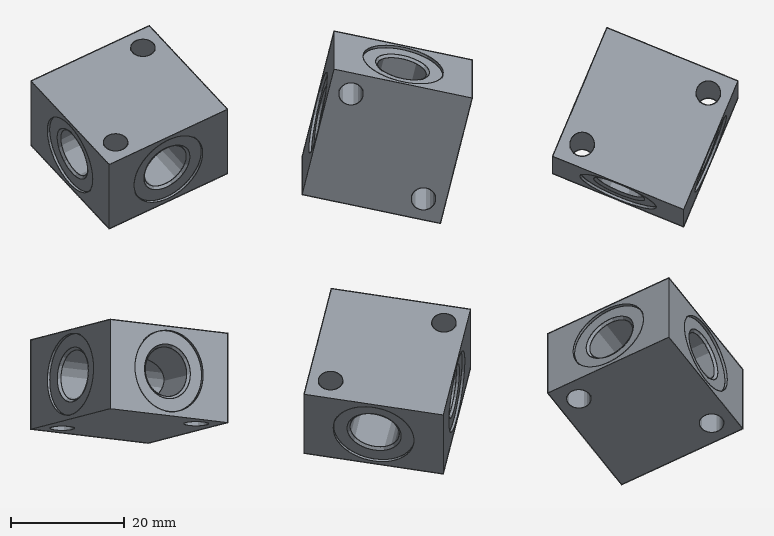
import cadquery as cq

side = 25.0
height = 16.0

bore_diameter = 8.8
chamfer_diameter = 9.72
chamfer_depth = (chamfer_diameter - bore_diameter) / 2
spotface_diameter = 14.5
spotface_depth = 0.5

mount_diameter = 4.3
mount_offset = 8.5


def port_cutter():
    """Bore along Z with a spotface and a chamfered mouth at both ends, centred on the origin."""
    half = side / 2
    floor = half - spotface_depth
    bore_radius = bore_diameter / 2
    spotface_radius = spotface_diameter / 2
    half_profile = [
        (0, 0),
        (bore_radius, 0),
        (bore_radius, floor - chamfer_depth),
        (chamfer_diameter / 2, floor),
        (spotface_radius, floor),
        (spotface_radius, half),
        (0, half),
    ]
    end = cq.Workplane("XZ").polyline(half_profile).close().revolve(360, (0, 0, 0), (0, 1, 0))
    return end.union(end.mirror("XY"))


block = cq.Workplane("XY").box(side, side, height)
port = port_cutter()
port_along_x = port.rotate((0, 0, 0), (0, 1, 0), 90)
port_along_y = port.rotate((0, 0, 0), (1, 0, 0), 90)

mount_holes = (
    cq.Workplane("XY")
    .pushPoints([(-mount_offset, mount_offset), (mount_offset, -mount_offset)])
    .circle(mount_diameter / 2)
    .extrude(height / 2, both=True)
)

result = block.cut(port_along_x).cut(port_along_y).cut(mount_holes)